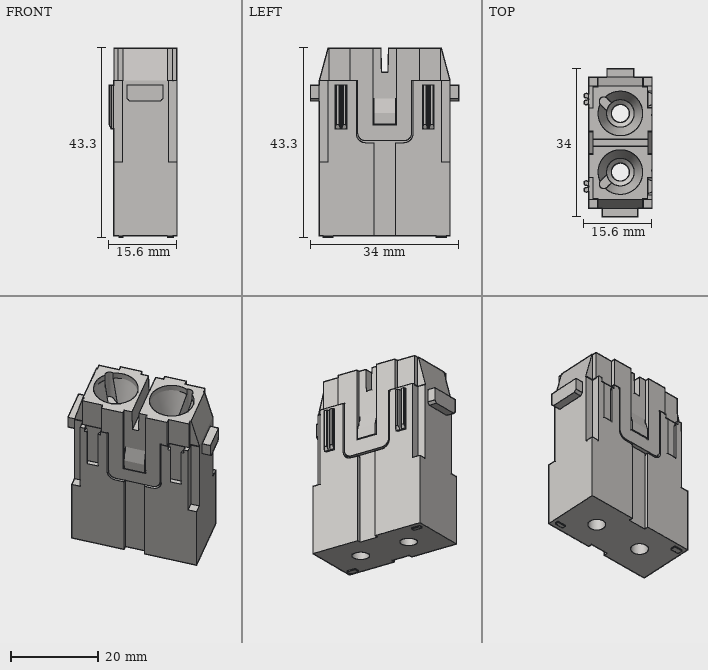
import cadquery as cq

TOTAL_HEIGHT = 43.3
FOOT_HEIGHT = 0.3
BODY_X = 14.6
BODY_Y = 30.0
SHOULDER_Z = 35.85
HALF_X = BODY_X / 2
HALF_Y = BODY_Y / 2

CORNER_RELIEF = 2.05
CORNER_FLOOR_Z = 17.25
TOP_CORNER_INSET = 2.2
TOP_CORNER_Y = 12.77
TOP_HALF_Y = 13.0
TOP_SIDE_INSET = 1.1
TOP_SIDE_Y = 7.92

PANEL_INSET = 0.065
PANEL_HALF_Y = 6.2
PANEL_BOTTOM_Z = 22.13
PANEL_RADIUS = 1.8
GROOVE_SIDE = 0.3
GROOVE_BOTTOM = 0.48
CHANNEL_HALF_Y = 2.42
CHANNEL_DEPTH = 1.0

WINDOW_HALF_Y = 2.73
WINDOW_BOTTOM_Z = 25.7
CATCH_BOTTOM_Z = 25.9
CATCH_CREST_Z = 28.35
CATCH_TOP_Z = 31.8

SLOT_TOP_WIDTH = 1.7
SLOT_BOTTOM_WIDTH = 1.45
SLOT_DEPTH = 5.5

CHAMBER_Y = 6.7
MOUTH_RADIUS = 5.1
MOUTH_DEPTH = 1.6
SEAT_RADIUS = 3.15
SEAT_DEPTH = 7.8
BORE_RADIUS = 2.05
THROAT_DEPTH = 8.9
KEY_WIDTH = 2.1
KEY_REACH = 4.65
KEY_OFFSET = 0.75
KEY_ANGLE = 135

LUG_LENGTH = 2.0
LUG_TOP_Z = 34.85
LUG_HEIGHT = 3.7
LUG_CHAMFER = 0.6
FRONT_LUG_WIDTH = 8.2
FRONT_LUG_X = -0.1
BACK_LUG_WIDTH = 6.15

RIB_Y = 10.0
RIB_DEPTH = 1.0
RIB_BOTTOM_Z = 24.85
RIB_TIP_HALF = 1.1
RIB_SHOULDER_HALF = 1.25
RIB_WIDEST_HALF = 1.35
RIB_NECK_HALF = 1.13
RIB_SHOULDER_DEPTH = 0.82
RIB_WIDEST_DEPTH = 0.48
NOTCH_TIP_HALF = 0.5
NOTCH_SHOULDER_HALF = 0.3
NOTCH_FLOOR_HALF = 0.15
RIB_END_RUN = 0.45
RIB_END_RISE = 0.95
SOCKET_MOUTH_HALF = 1.25
SOCKET_FLOOR_HALF = 1.65
ENTRY_WIDTH = 3.8

FOOT_LENGTH = 2.3
FOOT_Y = 12.95
LEFT_FOOT_WIDTH = 0.9
LEFT_FOOT_X = -5.6
RIGHT_FOOT_WIDTH = 1.4
RIGHT_FOOT_X = 5.7


def box(x_range, y_range, z_range):
    """Axis-aligned block spanning the three given ranges."""
    size = [high - low for low, high in (x_range, y_range, z_range)]
    low_corner = (x_range[0], y_range[0], z_range[0])
    return cq.Workplane("XY").box(*size, centered=False).translate(low_corner)


def mirrored_x(shape):
    return shape.union(shape.mirror("YZ"))


def mirrored_y(shape):
    return shape.union(shape.mirror("XZ"))


def housing():
    """Block whose two narrow ends lean inward above the shoulder."""
    outline = [
        (-HALF_Y, FOOT_HEIGHT),
        (HALF_Y, FOOT_HEIGHT),
        (HALF_Y, SHOULDER_Z),
        (TOP_HALF_Y, TOTAL_HEIGHT),
        (-TOP_HALF_Y, TOTAL_HEIGHT),
        (-HALF_Y, SHOULDER_Z),
    ]
    return cq.Workplane("YZ").polyline(outline).close().extrude(HALF_X, both=True)


def corner_reliefs():
    """Steps removed from all four vertical corners."""
    lower = box(
        (HALF_X - CORNER_RELIEF, HALF_X),
        (HALF_Y - CORNER_RELIEF, HALF_Y),
        (CORNER_FLOOR_Z, SHOULDER_Z),
    )
    upper_end = box(
        (HALF_X - TOP_CORNER_INSET, HALF_X), (TOP_CORNER_Y, HALF_Y), (SHOULDER_Z, TOTAL_HEIGHT)
    )
    upper_side = box(
        (HALF_X - TOP_SIDE_INSET, HALF_X), (TOP_SIDE_Y, HALF_Y), (SHOULDER_Z, TOTAL_HEIGHT)
    )
    upper_face = box((HALF_X - PANEL_INSET, HALF_X), (0, HALF_Y), (SHOULDER_Z, TOTAL_HEIGHT))
    return mirrored_y(mirrored_x(lower.union(upper_end).union(upper_side).union(upper_face)))


def u_panel(half_y, bottom_z, radius, x_range):
    """Slab up to the shoulder with rounded lower corners."""
    slab = box(x_range, (-half_y, half_y), (bottom_z, SHOULDER_Z))
    return slab.edges("|X and <Z").fillet(radius)


def panel_recess():
    """Groove around the panel, the shallow panel face and the channel below it."""
    recess_x = (HALF_X - CHANNEL_DEPTH, HALF_X)
    panel = u_panel(
        PANEL_HALF_Y, PANEL_BOTTOM_Z, PANEL_RADIUS, (HALF_X - CHANNEL_DEPTH, HALF_X - PANEL_INSET)
    )
    surround = u_panel(
        PANEL_HALF_Y + GROOVE_SIDE,
        PANEL_BOTTOM_Z - GROOVE_BOTTOM,
        PANEL_RADIUS + GROOVE_SIDE,
        recess_x,
    )
    channel = box(recess_x, (-CHANNEL_HALF_Y, CHANNEL_HALF_Y), (FOOT_HEIGHT, PANEL_BOTTOM_Z))
    return mirrored_x(surround.union(channel).cut(panel))


def latch_windows():
    """Windows in the panels, open at the top."""
    window = box(
        (HALF_X - CHANNEL_DEPTH, HALF_X),
        (-WINDOW_HALF_Y, WINDOW_HALF_Y),
        (WINDOW_BOTTOM_Z, TOTAL_HEIGHT),
    )
    return mirrored_x(window)


def latch_catches():
    """Catches standing in the windows, each with a ramp rising to a flat crest."""
    window_floor_x = HALF_X - CHANNEL_DEPTH
    outline = [
        (window_floor_x, CATCH_BOTTOM_Z),
        (HALF_X, CATCH_BOTTOM_Z),
        (HALF_X, CATCH_CREST_Z),
        (window_floor_x, CATCH_TOP_Z),
    ]
    catch = cq.Workplane("XZ").polyline(outline).close().extrude(CHANNEL_HALF_Y, both=True)
    return mirrored_x(catch)


def divider_slot():
    """Slot across the top, slightly narrower at its floor."""
    floor_z = TOTAL_HEIGHT - SLOT_DEPTH
    outline = [
        (-SLOT_BOTTOM_WIDTH / 2, floor_z),
        (SLOT_BOTTOM_WIDTH / 2, floor_z),
        (SLOT_TOP_WIDTH / 2, TOTAL_HEIGHT),
        (-SLOT_TOP_WIDTH / 2, TOTAL_HEIGHT),
    ]
    return cq.Workplane("YZ").polyline(outline).close().extrude(HALF_X, both=True)


def contact_chambers():
    """Stepped funnels through the full height, each with a diagonal keyway."""
    profile = [
        (0, 0),
        (BORE_RADIUS, 0),
        (BORE_RADIUS, TOTAL_HEIGHT - THROAT_DEPTH),
        (SEAT_RADIUS, TOTAL_HEIGHT - SEAT_DEPTH),
        (MOUTH_RADIUS, TOTAL_HEIGHT - MOUTH_DEPTH),
        (MOUTH_RADIUS, TOTAL_HEIGHT),
        (0, TOTAL_HEIGHT),
    ]
    funnel = cq.Workplane("XZ").polyline(profile).close().revolve(360, (0, 0, 0), (0, 1, 0))
    keyway = (
        cq.Workplane("XY", origin=(0, 0, TOTAL_HEIGHT - SEAT_DEPTH))
        .center(KEY_REACH / 2, KEY_OFFSET)
        .slot2D(KEY_REACH + KEY_WIDTH, KEY_WIDTH)
        .extrude(SEAT_DEPTH)
        .rotate((0, 0, 0), (0, 0, 1), KEY_ANGLE)
    )
    return mirrored_y(funnel.union(keyway).translate((0, CHAMBER_Y, 0)))


def end_lug(width, centre_x, side):
    """Lug on one narrow end; its two lower long edges are chamfered."""
    y_range = sorted((side * HALF_Y, side * (HALF_Y + LUG_LENGTH)))
    lug = box(
        (centre_x - width / 2, centre_x + width / 2), y_range, (LUG_TOP_Z - LUG_HEIGHT, LUG_TOP_Z)
    )
    return lug.edges("|Y and <Z").chamfer(LUG_CHAMFER)


def coding_rib():
    """Split dovetail rib with a sloping lower end, placed at Y = RIB_Y."""
    half_outline = [
        (0, NOTCH_FLOOR_HALF),
        (RIB_SHOULDER_DEPTH, NOTCH_SHOULDER_HALF),
        (RIB_DEPTH, NOTCH_TIP_HALF),
        (RIB_DEPTH, RIB_TIP_HALF),
        (RIB_SHOULDER_DEPTH, RIB_SHOULDER_HALF),
        (RIB_WIDEST_DEPTH, RIB_WIDEST_HALF),
        (0, RIB_NECK_HALF),
    ]
    outline = [(-HALF_X - depth, half_width) for depth, half_width in half_outline]
    prong = (
        cq.Workplane("XY", origin=(0, 0, RIB_BOTTOM_Z))
        .polyline(outline)
        .close()
        .extrude(LUG_TOP_Z - RIB_BOTTOM_Z)
    )
    tip_x = -HALF_X - RIB_DEPTH
    end_slope = (
        cq.Workplane("XZ")
        .polyline(
            [
                (tip_x, RIB_BOTTOM_Z),
                (tip_x + RIB_END_RUN, RIB_BOTTOM_Z),
                (tip_x, RIB_BOTTOM_Z + RIB_END_RISE),
            ]
        )
        .close()
        .extrude(RIB_WIDEST_HALF, both=True)
    )
    return mirrored_y(prong.cut(end_slope)).translate((0, RIB_Y, 0))


def coding_socket():
    """Dovetail socket with a wider entry, matching the rib on the other side."""
    floor_x = HALF_X - RIB_DEPTH
    outline = [
        (HALF_X, -SOCKET_MOUTH_HALF),
        (HALF_X, SOCKET_MOUTH_HALF),
        (floor_x, SOCKET_FLOOR_HALF),
        (floor_x, -SOCKET_FLOOR_HALF),
    ]
    dovetail = (
        cq.Workplane("XY", origin=(0, 0, RIB_BOTTOM_Z))
        .polyline(outline)
        .close()
        .extrude(SHOULDER_Z - RIB_BOTTOM_Z)
    )
    entry = box(
        (floor_x, HALF_X), (-ENTRY_WIDTH / 2, ENTRY_WIDTH / 2), (LUG_TOP_Z, SHOULDER_Z)
    )
    return dovetail.union(entry).translate((0, RIB_Y, 0))


def foot(width, centre_x, centre_y):
    return box(
        (centre_x - width / 2, centre_x + width / 2),
        (centre_y - FOOT_LENGTH / 2, centre_y + FOOT_LENGTH / 2),
        (0, FOOT_HEIGHT),
    )


result = (
    housing()
    .cut(corner_reliefs())
    .cut(panel_recess())
    .cut(latch_windows())
    .union(latch_catches())
    .cut(divider_slot())
    .cut(contact_chambers())
    .cut(mirrored_y(coding_socket()))
    .union(mirrored_y(coding_rib()))
    .union(end_lug(FRONT_LUG_WIDTH, FRONT_LUG_X, -1))
    .union(end_lug(BACK_LUG_WIDTH, 0, 1))
    .union(foot(LEFT_FOOT_WIDTH, LEFT_FOOT_X, -FOOT_Y))
    .union(foot(RIGHT_FOOT_WIDTH, RIGHT_FOOT_X, FOOT_Y))
)